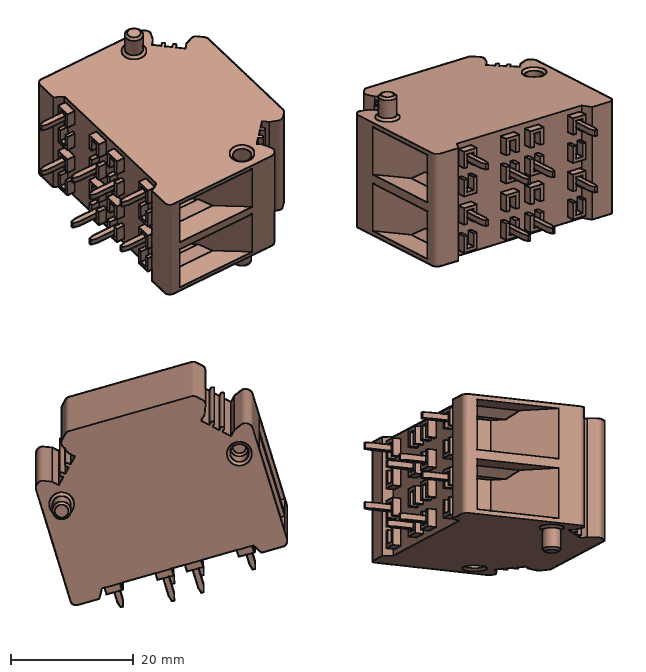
import cadquery as cq
import math

WIDTH = 36.8
HEIGHT = 20.0
TOP_Y = 27.12
HALF_WIDTH = WIDTH / 2

FOOT_DEPTH = 1.6
FOOT_INNER_X = 13.75
RECESS_HALF_WIDTH = 12.85
CORNER_RADIUS = 1.0

SHOULDER_SUM = 37.95
SLOT_MID_X = 12.65
SLOT_MID_Y = 20.75
SLOT_LENGTH = 5.52
SLOT_WALL = 1.2
FLARE_ANGLE = 22.5
RIB_SPACING = 1.85
RIB_WIDTH = 0.63
RIB_HEIGHT = 0.8

ROWS = 4
ROW_PITCH = 5.0

FUNNEL_TOP_Y = 15.27
FUNNEL_BOTTOM_Y = 0.7
FLOOR_TOP_Y = 6.33
FLOOR_BOTTOM_Y = 2.2
FUNNEL_HEIGHT = 8.43
FLOOR_HEIGHT = 5.7
TAPER_START = 4.0
TAPER_END = 5.45
FUNNEL_DEPTH = 7.0

PEG_X = 15.1
PEG_Y = 15.55
PEG_LENGTH = 4.0
PEG_RADIUS = 1.5
COLLAR_RADIUS = 2.02
COLLAR_HEIGHT = 0.4
TIP_CHAMFER = 0.4

OUTER_COLUMN_X = 11.22
INNER_COLUMN_X = 2.5
GUARD_DEPTH = 1.47
GUARD_HEIGHT = 2.95
GUARD_WEB = 0.63
OUTER_GUARD_WIDTH = 2.6
OUTER_GUARD_SLOT = 1.35
INNER_GUARD_WIDTH = 2.75
INNER_GUARD_SLOT = 1.25
PIN_LENGTH = 5.9
PIN_THICKNESS = 1.0
PIN_WIDTH = 1.0
PIN_TIP_WIDTH = 0.45
PIN_TAPER = 1.03
PIN_ROOT = 0.35


def prism(points, height):
    """Extrude an XY outline symmetrically about Z = 0."""
    return cq.Workplane("XY").polyline(points).close().extrude(height / 2, both=True)


def both_sides(solid):
    """Join a right-hand solid with its mirror image about X = 0."""
    return solid.union(solid.mirror("YZ"))


def shoulder_frame(along, out):
    """XY point from the slot middle: along the shoulder towards +Y, and out from it."""
    x = SLOT_MID_X + (out - along) / math.sqrt(2)
    y = SLOT_MID_Y + (out + along) / math.sqrt(2)
    return x, y


def round_corners(solid, corners):
    """Round the Z-parallel edges at the given XY corners and at their mirror images."""
    for x, y in corners:
        for side in (-1, 1):
            edge = solid.edges(cq.selectors.NearestToPointSelector((side * x, y, 0)))
            solid = edge.fillet(CORNER_RADIUS)
    return solid


def make_housing():
    shoulder_top = (SHOULDER_SUM - TOP_Y, TOP_Y)
    shoulder_end = (HALF_WIDTH, SHOULDER_SUM - HALF_WIDTH)
    foot_corner = (HALF_WIDTH, -FOOT_DEPTH)

    half_length = SLOT_LENGTH / 2
    mouth_out = (SHOULDER_SUM - SLOT_MID_X - SLOT_MID_Y) / math.sqrt(2)
    flare_run = (mouth_out - SLOT_WALL) * math.tan(math.radians(FLARE_ANGLE))
    mouth_half = half_length + flare_run
    upper_lip = shoulder_frame(mouth_half, mouth_out)
    lower_lip = shoulder_frame(-mouth_half, mouth_out)

    right_outline = [
        (0, TOP_Y),
        shoulder_top,
        upper_lip,
        shoulder_frame(half_length, SLOT_WALL),
        shoulder_frame(half_length, 0),
        shoulder_frame(-half_length, 0),
        shoulder_frame(-half_length, SLOT_WALL),
        lower_lip,
        shoulder_end,
        foot_corner,
        (FOOT_INNER_X, -FOOT_DEPTH),
        (RECESS_HALF_WIDTH, 0),
        (0, 0),
    ]
    housing = both_sides(prism(right_outline, HEIGHT))
    corners = [shoulder_top, upper_lip, lower_lip, shoulder_end, foot_corner]
    return round_corners(housing, corners)


def make_ribs():
    """Two round-topped ribs on the floor of each shoulder slot."""
    half_rib = RIB_WIDTH / 2
    straight = RIB_HEIGHT - half_rib
    ribs = cq.Workplane("XY")
    for middle in (-RIB_SPACING / 2, RIB_SPACING / 2):
        rib = (
            cq.Workplane("XY")
            .moveTo(*shoulder_frame(middle - half_rib, -half_rib))
            .lineTo(*shoulder_frame(middle - half_rib, straight))
            .threePointArc(
                shoulder_frame(middle, RIB_HEIGHT),
                shoulder_frame(middle + half_rib, straight),
            )
            .lineTo(*shoulder_frame(middle + half_rib, -half_rib))
            .close()
            .extrude(HEIGHT / 2, both=True)
        )
        ribs = ribs.add(both_sides(rib))
    return ribs.combine()


def make_funnels():
    """Two funnels per side: sloped in Y from the mouth on, narrowed in Z part-way in."""
    floor_x = HALF_WIDTH - FUNNEL_DEPTH
    slopes = prism(
        [
            (HALF_WIDTH, FUNNEL_BOTTOM_Y),
            (HALF_WIDTH, FUNNEL_TOP_Y),
            (floor_x, FLOOR_TOP_Y),
            (floor_x, FLOOR_BOTTOM_Y),
        ],
        FUNNEL_HEIGHT,
    )
    half_outline = [
        (HALF_WIDTH, FUNNEL_HEIGHT / 2),
        (HALF_WIDTH - TAPER_START, FUNNEL_HEIGHT / 2),
        (HALF_WIDTH - TAPER_END, FLOOR_HEIGHT / 2),
        (floor_x, FLOOR_HEIGHT / 2),
    ]
    lower_outline = [(x, -z) for x, z in reversed(half_outline)]
    narrowing = (
        cq.Workplane("XZ")
        .polyline(half_outline + lower_outline)
        .close()
        .extrude(-FUNNEL_TOP_Y)
    )
    funnel = both_sides(slopes.intersect(narrowing))
    upper = funnel.translate((0, 0, ROW_PITCH))
    lower = funnel.translate((0, 0, -ROW_PITCH))
    return upper.union(lower)


def make_peg(x, face_z, direction):
    """Peg with a conical collar and a chamfered tip, pointing along +Z or -Z from face_z."""
    peg = (
        cq.Workplane("XZ")
        .polyline(
            [
                (0, 0),
                (COLLAR_RADIUS, 0),
                (PEG_RADIUS, COLLAR_HEIGHT),
                (PEG_RADIUS, PEG_LENGTH - TIP_CHAMFER),
                (PEG_RADIUS - TIP_CHAMFER, PEG_LENGTH),
                (0, PEG_LENGTH),
            ]
        )
        .close()
        .revolve(360, (0, 0), (0, 1))
    )
    if direction < 0:
        peg = peg.mirror("XY")
    return peg.translate((x, PEG_Y, face_z))


def make_guard(width, slot_width, opening):
    """U-shaped guard centred on its pin; opening is the Z direction of its open end."""
    guard = cq.Workplane("XY").box(width, GUARD_DEPTH, GUARD_HEIGHT)
    slot = cq.Workplane("XY").box(slot_width, GUARD_DEPTH, GUARD_HEIGHT)
    guard = guard.cut(slot.translate((0, 0, opening * GUARD_WEB)))
    return guard.translate((0, -GUARD_DEPTH / 2, 0))


def make_pin():
    """Flat pin along -Y whose end tapers in width."""
    taper_y = PIN_TAPER - PIN_LENGTH
    return prism(
        [
            (-PIN_WIDTH / 2, PIN_ROOT),
            (PIN_WIDTH / 2, PIN_ROOT),
            (PIN_WIDTH / 2, taper_y),
            (PIN_TIP_WIDTH / 2, -PIN_LENGTH),
            (-PIN_TIP_WIDTH / 2, -PIN_LENGTH),
            (-PIN_WIDTH / 2, taper_y),
        ],
        PIN_THICKNESS,
    )


def make_terminals():
    """Rows of guards; outer and inner columns carry pins in alternate rows."""
    terminals = cq.Workplane("XY")
    for row in range(ROWS):
        z = ((ROWS - 1) / 2 - row) * ROW_PITCH
        outer_row = row % 2 == 0
        opening = -1 if outer_row else 1
        for side in (-1, 1):
            outer_spot = (side * OUTER_COLUMN_X, 0, z)
            inner_spot = (side * INNER_COLUMN_X, 0, z)
            outer_guard = make_guard(OUTER_GUARD_WIDTH, OUTER_GUARD_SLOT, opening)
            inner_guard = make_guard(INNER_GUARD_WIDTH, INNER_GUARD_SLOT, opening)
            terminals = terminals.add(outer_guard.translate(outer_spot))
            terminals = terminals.add(inner_guard.translate(inner_spot))
            pin = make_pin().translate(outer_spot if outer_row else inner_spot)
            terminals = terminals.add(pin)
    return terminals.combine()


top_z = HEIGHT / 2
result = make_housing().union(make_ribs()).cut(make_funnels())

result = result.union(make_peg(-PEG_X, top_z, 1)).union(make_peg(PEG_X, -top_z, -1))
result = result.cut(make_peg(PEG_X, top_z, -1)).cut(make_peg(-PEG_X, -top_z, 1))

result = result.union(make_terminals())